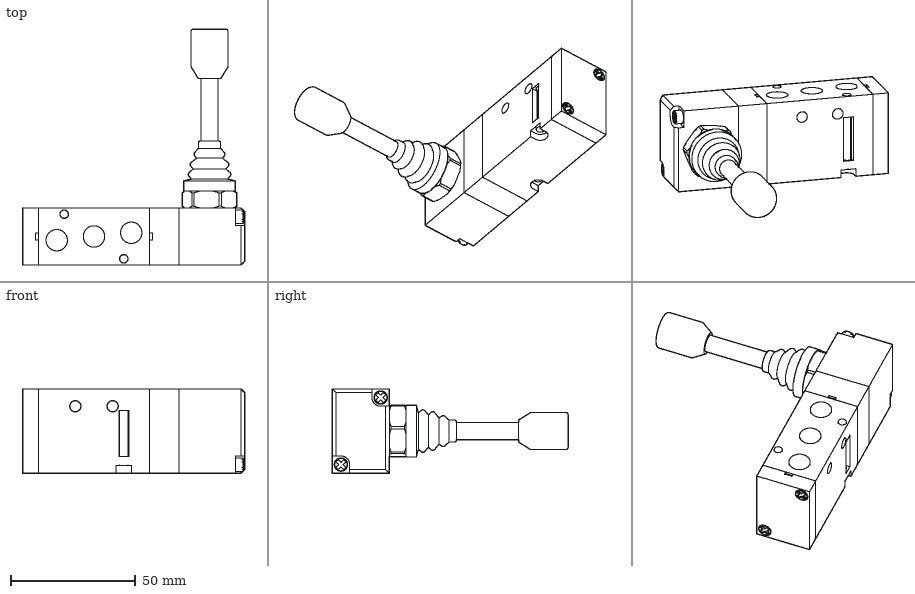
import cadquery as cq
import math

block_width = 23.0
block_height = 34.0
half_width = block_width / 2
mid_height = block_height / 2

cap_length = 6.5
valve_length = 44.5
spacer_length = 11.9
total_length = 89.5
valve_start = cap_length
spacer_start = valve_start + valve_length
housing_start = spacer_start + spacer_length
valve_center = valve_start + valve_length / 2

port_diameter = 8.6
port_depth = 10.0
port_pitch = 15.0
port_stagger = 1.5
cross_hole_diameter = 4.4
cross_hole_pitch = 15.0
cross_hole_height = 27.0
mount_hole_diameter = 3.3
mount_hole_offset_x = 12.0
mount_hole_offset_y = 9.0
side_slot_width = 4.0
side_slot_bottom = 6.8
side_slot_top = 25.2
seat_diameter = 6.1
seat_height = 3.2

edge_notch_length = 1.2
edge_notch_width = 3.0
edge_notch_depth = 1.0

head_diameter = 5.4
head_height = 3.1
head_chamfer = 0.2
screw_inset = 3.5
cross_arm_width = 1.3
cross_arm_length = 4.4
cross_depth = 0.5

end_chamfer = 1.5
corner_pocket_depth = 3.75
corner_pocket_start = total_length - corner_pocket_depth

lever_x = 75.25
nut_apothem = 9.85
nut_corner_radius = 11.1
nut_end_radius = 10.2
nut_chamfer_length = 0.7
nut_length = 6.75
nut_turn = 22.7
collar_radius = 10.45
collar_end = 10.9
boot_start = 11.65
boot_start_radius = 7.4
neck_radius = 4.5
neck_start = 24.0
neck_end = 27.0
neck_fillet = 0.8
rod_radius = 3.5
knob_start = 52.0
knob_start_radius = 4.5
knob_cone_end = 56.8
knob_radius = 7.5
knob_fillet = 1.0
lever_length = 72.0

boot_crests = [(13.65, 9.0), (17.6, 8.3), (21.7, 6.55)]
boot_valleys = [(15.7, 6.6), (20.0, 5.3), (neck_start, neck_radius)]
crest_fillet = 1.0


def block(start, length):
    """Full-section block of the row."""
    return (
        cq.Workplane("XY", origin=(start, 0, 0))
        .box(length, block_width, block_height, centered=(False, True, False))
    )


def edge_notch(start):
    """Cutter for a small notch in the top face."""
    return (
        cq.Workplane("XY", origin=(start, 0, block_height - edge_notch_depth))
        .box(edge_notch_length, edge_notch_width, edge_notch_depth, centered=(False, True, False))
    )


def corner_point(y_side, z_side):
    """Screw axis (Y, Z) at the block corner on the given sides."""
    return (y_side * (half_width - screw_inset), mid_height + z_side * (mid_height - screw_inset))


cap_corners = [(-1, 1), (1, -1)]
housing_corners = [(1, 1), (-1, -1)]


def make_screw():
    """Cross-recess screw head with its seat at X = 0 and its top facing +X."""
    head = cq.Workplane("YZ").circle(head_diameter / 2).extrude(head_height)
    head = head.faces(">X").chamfer(head_chamfer)
    for angle in (45, 135):
        arm = (
            cq.Workplane("YZ", origin=(head_height - cross_depth, 0, 0))
            .transformed(rotate=(0, 0, angle))
            .rect(cross_arm_length, cross_arm_width)
            .extrude(cross_depth)
        )
        head = head.cut(arm)
    return head


def make_cap_screw(y, z):
    """Screw head sunk flush into the outer face of the end cap."""
    return make_screw().rotate((0, 0, 0), (0, 0, 1), 180).translate((head_height, y, z))


def make_housing_screw(y, z):
    """Screw head standing on the floor of a housing corner pocket."""
    return make_screw().translate((corner_pocket_start, y, z))


cap_screws = [make_cap_screw(*corner_point(*sides)) for sides in cap_corners]
housing_screws = [make_housing_screw(*corner_point(*sides)) for sides in housing_corners]


def make_cap():
    cap = block(0, cap_length)
    screw_axes = [corner_point(*sides) for sides in cap_corners]
    sinks = cq.Workplane("YZ").pushPoints(screw_axes).circle(head_diameter / 2).extrude(head_height)
    return cap.cut(sinks).cut(edge_notch(cap_length - edge_notch_length))


def mount_features(side):
    """Cutter for one vertical mounting hole with its side slot and its open bottom seat."""
    x = valve_center - side * mount_hole_offset_x
    y = side * mount_hole_offset_y
    wall = half_width - mount_hole_offset_y
    wall_middle = side * (mount_hole_offset_y + wall / 2)
    hole = cq.Workplane("XY").center(x, y).circle(mount_hole_diameter / 2).extrude(block_height)
    slot = (
        cq.Workplane("XY", origin=(x, wall_middle, side_slot_bottom))
        .rect(side_slot_width, wall)
        .extrude(side_slot_top - side_slot_bottom)
    )
    seat = cq.Workplane("XY").center(x, y).circle(seat_diameter / 2).extrude(seat_height)
    seat_opening = cq.Workplane("XY").center(x, wall_middle).rect(seat_diameter, wall).extrude(seat_height)
    return hole.union(slot).union(seat).union(seat_opening)


def make_valve_body():
    body = block(valve_start, valve_length)
    for step in (-1, 0, 1):
        port = (
            cq.Workplane("XY", origin=(valve_center + step * port_pitch, step * port_stagger, block_height))
            .circle(port_diameter / 2)
            .extrude(-port_depth)
        )
        body = body.cut(port)
    for side in (-1, 1):
        cross_hole = (
            cq.Workplane("XZ", origin=(valve_center + side * cross_hole_pitch / 2, 0, cross_hole_height))
            .circle(cross_hole_diameter / 2)
            .extrude(half_width, both=True)
        )
        body = body.cut(cross_hole).cut(mount_features(side))
    return body


def make_spacer():
    return block(spacer_start, spacer_length).cut(edge_notch(spacer_start))


def corner_pocket(y_side, z_side):
    """Cutter for a corner pocket: open to both outer faces, rounded about the screw axis."""
    y, z = corner_point(y_side, z_side)
    outer_y = y_side * half_width
    outer_z = mid_height + z_side * mid_height
    pocket = (
        cq.Workplane("YZ", origin=(corner_pocket_start, y, z))
        .circle(screw_inset)
        .extrude(corner_pocket_depth)
    )
    for width, height in ((2 * screw_inset, screw_inset), (screw_inset, 2 * screw_inset)):
        opening = (
            cq.Workplane("YZ", origin=(corner_pocket_start, 0, 0))
            .center(outer_y - y_side * width / 2, outer_z - z_side * height / 2)
            .rect(width, height)
            .extrude(corner_pocket_depth)
        )
        pocket = pocket.union(opening)
    return pocket


def make_housing():
    housing = block(housing_start, total_length - housing_start).faces(">X").edges().chamfer(end_chamfer)
    for sides in housing_corners:
        housing = housing.cut(corner_pocket(*sides))
    return housing


def revolve_profile(points):
    """Solid of revolution about Y from (radius, axial) points, closed along the axis."""
    return cq.Workplane("XY").polyline(points).close().revolve(360, (0, 0, 0), (0, 1, 0))


def make_nut():
    """Hexagon along Y with rounded-off corners and both ends chamfered."""
    corner_from_z = 30
    hexagon_diameter = 2 * nut_apothem / math.cos(math.pi / 6)
    hexagon = (
        cq.Workplane("XZ")
        .polygon(6, hexagon_diameter)
        .extrude(-nut_length)
        .rotate((0, 0, 0), (0, 1, 0), nut_turn - corner_from_z)
    )
    envelope = revolve_profile([
        (0, 0),
        (nut_end_radius, 0),
        (nut_corner_radius, nut_chamfer_length),
        (nut_corner_radius, nut_length - nut_chamfer_length),
        (nut_end_radius, nut_length),
        (0, nut_length),
    ])
    return hexagon.intersect(envelope)


def circle_at(axial, radius):
    """Selector box around the whole circular edge of that size."""
    margin = 0.01
    reach = radius + margin
    low_corner = (-reach, axial - margin, -reach)
    high_corner = (reach, axial + margin, reach)
    return cq.selectors.BoxSelector(low_corner, high_corner, boundingbox=True)


def make_boot():
    """Collar, shallow shoulder and three rubber folds up to the neck."""
    outline = [(0, nut_length), (collar_radius, nut_length), (collar_radius, collar_end)]
    outline.append((boot_start_radius, boot_start))
    for crest, valley in zip(boot_crests, boot_valleys):
        outline.append((crest[1], crest[0]))
        outline.append((valley[1], valley[0]))
    outline += [(neck_radius, neck_end), (0, neck_end)]
    boot = revolve_profile(outline)
    for axial, radius in boot_crests:
        boot = boot.edges(circle_at(axial, radius)).fillet(crest_fillet)
    return boot.edges(circle_at(neck_end, neck_radius)).fillet(neck_fillet)


def make_knob():
    knob = revolve_profile([
        (0, knob_start),
        (knob_start_radius, knob_start),
        (knob_radius, knob_cone_end),
        (knob_radius, lever_length),
        (0, lever_length),
    ])
    for axial in (knob_cone_end, lever_length):
        knob = knob.edges(circle_at(axial, knob_radius)).fillet(knob_fillet)
    return knob


def make_lever():
    rod = cq.Workplane("XZ").circle(rod_radius).extrude(-knob_start)
    lever = make_nut().union(make_boot()).union(rod).union(make_knob())
    return lever.translate((lever_x, half_width, mid_height))


cap = make_cap()
valve_body = make_valve_body()
spacer = make_spacer()
housing = make_housing()
lever = make_lever()

result = cq.Compound.makeCompound([
    cap.val(),
    valve_body.val(),
    spacer.val(),
    housing.val(),
    lever.val(),
    *[screw.val() for screw in cap_screws],
    *[screw.val() for screw in housing_screws],
])